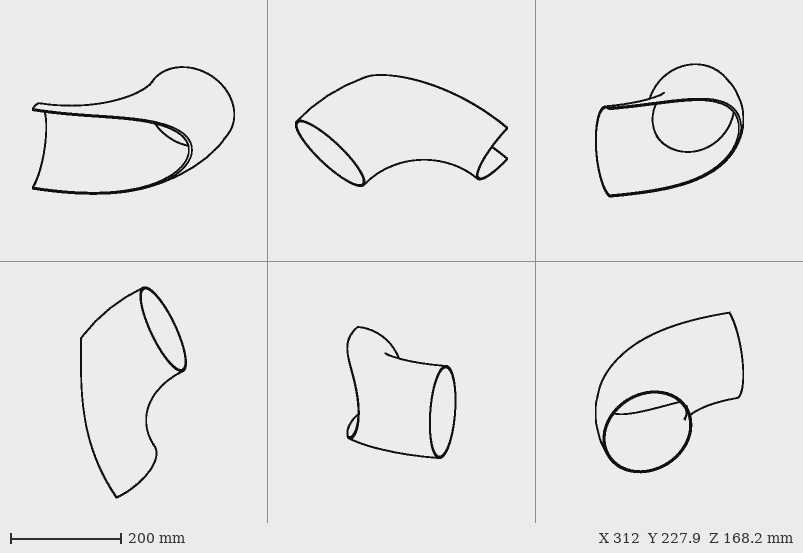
import cadquery as cq

overall_length = 312.0
outer_diameter = 168.2
wall = 3.0

outer_radius = outer_diameter / 2
inner_radius = outer_radius - wall
bend_radius = overall_length - outer_radius
bend_angle = 90
cut_height = 2 * outer_diameter


def make_elbow():
    """Sweep the pipe ring around the bend axis, from the -Y end to the +X end."""
    return (
        cq.Workplane("YZ")
        .center(-bend_radius, 0)
        .circle(outer_radius)
        .circle(inner_radius)
        .revolve(bend_angle, (bend_radius, 0, 0), (bend_radius, 1, 0))
    )


def make_saddle_cut():
    """Solid below the parabola y = x^2 / (4 * bend_radius) - bend_radius.

    The elbow and a straight pipe along X, equal in diameter, meet on this curve.
    A quadratic Bezier curve with its middle point on the start tangent is exact.
    """
    end_x = overall_length
    end_y = end_x**2 / (4 * bend_radius) - bend_radius
    floor_y = -overall_length - outer_radius
    return (
        cq.Workplane("XY")
        .workplane(offset=-cut_height / 2)
        .moveTo(0, -bend_radius)
        .bezier([(end_x / 2, -bend_radius), (end_x, end_y)], includeCurrent=True)
        .lineTo(end_x, floor_y)
        .lineTo(0, floor_y)
        .close()
        .extrude(cut_height)
    )


result = make_elbow().cut(make_saddle_cut())